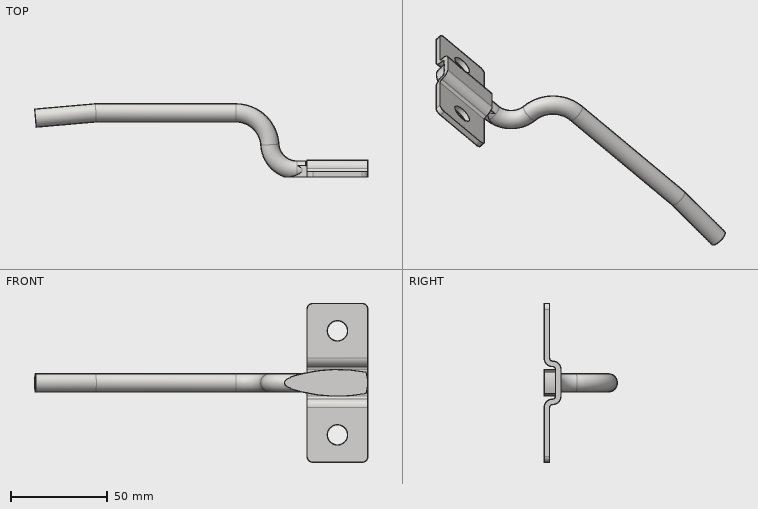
import cadquery as cq
import math

OVERALL_LENGTH = 173.0

BRACKET_WIDTH = 31.7
BRACKET_HEIGHT = 82.5
SHEET = 3.0
BEND_INNER_RADIUS = 1.47
BEND_OUTER_RADIUS = BEND_INNER_RADIUS + SHEET
BEND_START_Z = 12.8
CORNER_RADIUS = 3.1
HOLE_DIAMETER = 10.4
HOLE_Z = 27.0
BRACKET_X = OVERALL_LENGTH - BRACKET_WIDTH
BRACKET_MIDDLE_X = OVERALL_LENGTH - BRACKET_WIDTH / 2
BRIDGE_UNDERSIDE = 2 * BEND_INNER_RADIUS + SHEET
BRIDGE_TOP = BRIDGE_UNDERSIDE + SHEET

ROD_DIAMETER = 9.5
ROD_RADIUS = ROD_DIAMETER / 2
TOTAL_DEPTH = 38.0
TIP_TILT = 5.0
TIP_BEND_X = 31.8
FIRST_BEND_X = 104.5
FIRST_BEND_RADIUS = 17.6
SECOND_BEND_RADIUS = 14.0
UPPER_AXIS_Y = TOTAL_DEPTH - ROD_RADIUS
LOWER_AXIS_Y = 3.6
ROD_END_GAP = 0.5
ROD_END_X = BRACKET_X - ROD_END_GAP

PAD_HALF_WIDTH = 7.0
PAD_SIDE_RADIUS = 78.7
PAD_START_X = 132.8
PAD_CORNER_X = 172.0
PAD_END_X = 172.8


def point_on_circle(center, radius, degrees):
    """Point at an angle measured from the plane's first axis."""
    angle = math.radians(degrees)
    return (center[0] + radius * math.cos(angle), center[1] + radius * math.sin(angle))


def bracket_profile():
    """Upper half of the bent strip's outline in the YZ plane, from tab end to mid-bridge."""
    bend_y = SHEET + BEND_INNER_RADIUS
    tab_bend = (bend_y, BEND_START_Z)
    bridge_bend_z = BEND_START_Z - 2 * BEND_INNER_RADIUS - SHEET
    bridge_bend = (bend_y, bridge_bend_z)
    tab_end = BRACKET_HEIGHT / 2
    return (
        cq.Workplane("YZ", origin=(BRACKET_X, 0, 0))
        .moveTo(0, tab_end)
        .lineTo(0, BEND_START_Z)
        .threePointArc(
            point_on_circle(tab_bend, BEND_OUTER_RADIUS, 225),
            (bend_y, BEND_START_Z - BEND_OUTER_RADIUS),
        )
        .threePointArc(
            point_on_circle(bridge_bend, BEND_INNER_RADIUS, 45),
            (BRIDGE_UNDERSIDE, bridge_bend_z),
        )
        .lineTo(BRIDGE_UNDERSIDE, 0)
        .lineTo(BRIDGE_TOP, 0)
        .lineTo(BRIDGE_TOP, bridge_bend_z)
        .threePointArc(
            point_on_circle(bridge_bend, BEND_OUTER_RADIUS, 45),
            (bend_y, bridge_bend_z + BEND_OUTER_RADIUS),
        )
        .threePointArc(
            point_on_circle(tab_bend, BEND_INNER_RADIUS, 225),
            (SHEET, BEND_START_Z),
        )
        .lineTo(SHEET, tab_end)
        .close()
    )


def make_bracket():
    upper_half = bracket_profile().extrude(BRACKET_WIDTH)
    strip = upper_half.union(upper_half.mirror("XY"))
    strip = strip.edges("|Y").edges(">Z or <Z").fillet(CORNER_RADIUS)
    holes = (
        cq.Workplane("XZ")
        .pushPoints([(BRACKET_MIDDLE_X, HOLE_Z), (BRACKET_MIDDLE_X, -HOLE_Z)])
        .circle(HOLE_DIAMETER / 2)
        .extrude(-SHEET)
    )
    return strip.cut(holes)


def make_round_rod():
    """The full round rod, swept along its axis from the tip to the bracket."""
    tilt = math.radians(TIP_TILT)
    tip_x = ROD_RADIUS * math.sin(tilt)
    tip_y = UPPER_AXIS_Y - (TIP_BEND_X - tip_x) * math.tan(tilt)

    radius_sum = FIRST_BEND_RADIUS + SECOND_BEND_RADIUS
    turn = math.degrees(math.acos(1 - (UPPER_AXIS_Y - LOWER_AXIS_Y) / radius_sum))
    first_center = (FIRST_BEND_X, UPPER_AXIS_Y - FIRST_BEND_RADIUS)
    second_bend_end_x = FIRST_BEND_X + radius_sum * math.sin(math.radians(turn))
    second_center = (second_bend_end_x, LOWER_AXIS_Y + SECOND_BEND_RADIUS)

    axis = (
        cq.Workplane("XY")
        .moveTo(tip_x, tip_y)
        .lineTo(TIP_BEND_X, UPPER_AXIS_Y)
        .lineTo(FIRST_BEND_X, UPPER_AXIS_Y)
        .threePointArc(
            point_on_circle(first_center, FIRST_BEND_RADIUS, 90 - turn / 2),
            point_on_circle(first_center, FIRST_BEND_RADIUS, 90 - turn),
        )
        .threePointArc(
            point_on_circle(second_center, SECOND_BEND_RADIUS, 270 - turn / 2),
            (second_bend_end_x, LOWER_AXIS_Y),
        )
        .lineTo(ROD_END_X, LOWER_AXIS_Y)
    )
    tip_plane = cq.Plane(
        origin=(tip_x, tip_y, 0),
        xDir=(0, 0, 1),
        normal=(math.cos(tilt), math.sin(tilt), 0),
    )
    return cq.Workplane(tip_plane).circle(ROD_RADIUS).sweep(axis, transition="right")


def pad_half_width(x):
    """Half-width of the pad where its arched side crosses the given X."""
    offset = x - BRACKET_MIDDLE_X
    drop = PAD_SIDE_RADIUS - math.sqrt(PAD_SIDE_RADIUS**2 - offset**2)
    return PAD_HALF_WIDTH - drop


def make_pad():
    start_z = pad_half_width(PAD_START_X)
    corner_z = pad_half_width(PAD_CORNER_X)
    return (
        cq.Workplane("XZ")
        .moveTo(PAD_START_X, start_z)
        .threePointArc((BRACKET_MIDDLE_X, PAD_HALF_WIDTH), (PAD_CORNER_X, corner_z))
        .threePointArc((PAD_END_X, 0), (PAD_CORNER_X, -corner_z))
        .threePointArc((BRACKET_MIDDLE_X, -PAD_HALF_WIDTH), (PAD_START_X, -start_z))
        .close()
        .extrude(-BRIDGE_UNDERSIDE)
    )


def make_rod():
    below_face = (
        cq.Workplane("XZ")
        .center(OVERALL_LENGTH / 2, 0)
        .rect(OVERALL_LENGTH, 2 * ROD_DIAMETER)
        .extrude(ROD_DIAMETER)
    )
    return make_round_rod().cut(below_face).union(make_pad())


bracket = make_bracket()
rod = make_rod()

result = cq.Compound.makeCompound([bracket.solids().val(), rod.solids().val()])